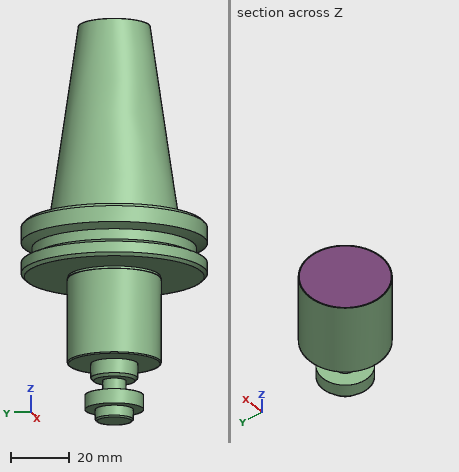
import cadquery as cq

total_height = 138.0

tip_diameter = 13.0
tip_top = 4.0
tip_chamfer = 0.5
disc_diameter = 20.0
disc_top = 9.0
neck_diameter = 8.0
neck_top = 14.1

collar_diameter = 16.0
collar_top = 20.0
collar_chamfer = 1.0
arbor_diameter = 32.0
arbor_chamfer = 0.4
relief_diameter = 31.5
relief_height = 0.8

flange_diameter = 63.5
flange_bottom = 50.5
flange_top = 68.9
flange_chamfer = 1.1
groove_diameter = 56.0
groove_middle = 58.8
groove_floor_width = 3.6
groove_mouth_width = 6.9

taper_neck_diameter = 43.9
taper_bottom = 69.8
taper_large_diameter = 44.5
taper_ratio = 7 / 24


def cylinder(diameter, bottom, top):
    """Solid cylinder on the Z axis between two heights."""
    return cq.Workplane("XY").workplane(offset=bottom).circle(diameter / 2).extrude(top - bottom)


def make_screw():
    tip = cylinder(tip_diameter, 0, tip_top).faces("<Z").chamfer(tip_chamfer)
    disc = cylinder(disc_diameter, tip_top, disc_top)
    neck = cylinder(neck_diameter, disc_top, neck_top)
    return tip.union(disc).union(neck)


def make_arbor():
    collar = cylinder(collar_diameter, neck_top, collar_top).faces("<Z").chamfer(collar_chamfer)
    relief_bottom = flange_bottom - relief_height
    arbor = cylinder(arbor_diameter, collar_top, relief_bottom).faces("<Z").chamfer(arbor_chamfer)
    relief = cylinder(relief_diameter, relief_bottom, flange_bottom)
    return collar.union(arbor).union(relief)


def make_flange():
    flange = cylinder(flange_diameter, flange_bottom, flange_top).edges().chamfer(flange_chamfer)
    floor_radius = groove_diameter / 2
    mouth_radius = flange_diameter / 2
    groove = (
        cq.Workplane("XZ")
        .moveTo(floor_radius, groove_middle - groove_floor_width / 2)
        .lineTo(mouth_radius, groove_middle - groove_mouth_width / 2)
        .lineTo(mouth_radius, groove_middle + groove_mouth_width / 2)
        .lineTo(floor_radius, groove_middle + groove_floor_width / 2)
        .close()
        .revolve(360, (0, 0, 0), (0, 1, 0))
    )
    return flange.cut(groove)


def make_taper():
    neck = cylinder(taper_neck_diameter, flange_top, taper_bottom)
    taper_height = total_height - taper_bottom
    small_diameter = taper_large_diameter - taper_ratio * taper_height
    cone = (
        cq.Workplane("XY")
        .workplane(offset=taper_bottom)
        .circle(taper_large_diameter / 2)
        .workplane(offset=taper_height)
        .circle(small_diameter / 2)
        .loft()
    )
    return neck.union(cone)


result = make_screw().union(make_arbor()).union(make_flange()).union(make_taper())